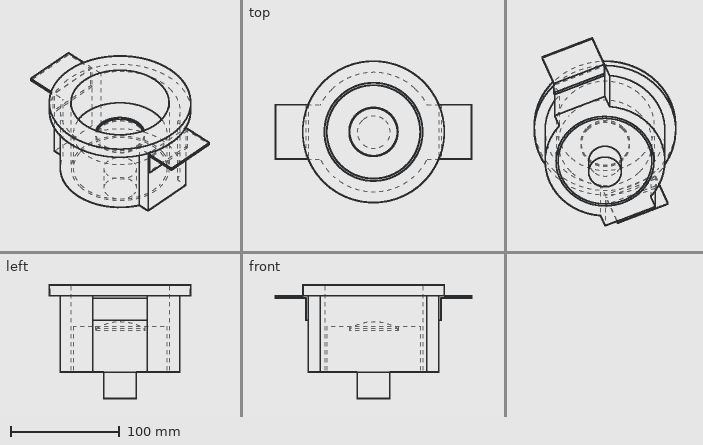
import cadquery as cq
import math

total_height = 104.39
flange_height = 10.0
barrel_height = 70.0
barrel_bottom = -(flange_height + barrel_height)

flange_diameter = 130.0
barrel_diameter = 110.0
bore_diameter = 90.0
pad_span = 120.0
pad_width = 50.0

bracket_span = 180.0
bracket_thickness = 2.0
bracket_leg_height = 22.5

lamp_clearance = 2.0
lamp_diameter = bore_diameter - 2 * lamp_clearance
lamp_top = -38.0
lens_recess_diameter = 45.0

lens_clearance = 0.65
lens_diameter = lens_recess_diameter - 2 * lens_clearance
lens_rim_drop = 1.5
lens_edge_height = 2.0
lens_rise = 6.0
lens_rim = lamp_top - lens_rim_drop
lens_seat = lens_rim - lens_edge_height

stem_diameter = 30.0


def disc(diameter, top, bottom):
    """Solid cylinder on the Z axis between two heights."""
    return cq.Workplane("XY").workplane(offset=bottom).circle(diameter / 2).extrude(top - bottom)


def make_housing():
    """Flanged barrel with two flat-sided pads and a straight through bore."""
    flange = disc(flange_diameter, 0, -flange_height)
    barrel = disc(barrel_diameter, -flange_height, barrel_bottom)
    pads = (
        cq.Workplane("XY")
        .workplane(offset=barrel_bottom)
        .rect(pad_span, pad_width)
        .extrude(barrel_height)
    )
    bore = disc(bore_diameter, 0, barrel_bottom)
    return flange.union(barrel).union(pads).cut(bore)


def make_bracket(side):
    """L-shaped plate under the flange and against one pad; side is +1 or -1 along X."""
    inner_x = side * pad_span / 2
    leg_x = inner_x + side * bracket_thickness
    outer_x = side * bracket_span / 2
    top = -flange_height
    profile = [
        (inner_x, top),
        (outer_x, top),
        (outer_x, top - bracket_thickness),
        (leg_x, top - bracket_thickness),
        (leg_x, top - bracket_leg_height),
        (inner_x, top - bracket_leg_height),
    ]
    return cq.Workplane("XZ").polyline(profile).close().extrude(pad_width / 2, both=True)


def make_lamp():
    """Round lamp body with a shallow round recess for the lens."""
    recess = disc(lens_recess_diameter, lamp_top, lens_seat)
    return disc(lamp_diameter, lamp_top, barrel_bottom).cut(recess)


def make_lens():
    """Thin round plate with a spherical cap, standing on the floor of the lens recess."""
    radius = lens_diameter / 2
    apex = lens_rim + lens_rise
    sphere_radius = (radius**2 + lens_rise**2) / (2 * lens_rise)
    half_x = radius / 2
    half_z = apex - sphere_radius + math.sqrt(sphere_radius**2 - half_x**2)
    return (
        cq.Workplane("XZ")
        .moveTo(0, lens_seat)
        .lineTo(radius, lens_seat)
        .lineTo(radius, lens_rim)
        .threePointArc((half_x, half_z), (0, apex))
        .close()
        .revolve(360, (0, 0, 0), (0, 1, 0))
    )


def make_stem():
    """Plain round stem below the lamp body."""
    return disc(stem_diameter, barrel_bottom, -total_height)


housing = make_housing()
brackets = [make_bracket(side) for side in (-1, 1)]
lamp = make_lamp()
lens = make_lens()
stem = make_stem()

result = cq.Compound.makeCompound(
    [
        housing.val(),
        *[bracket.val() for bracket in brackets],
        lamp.val(),
        lens.val(),
        stem.val(),
    ]
)